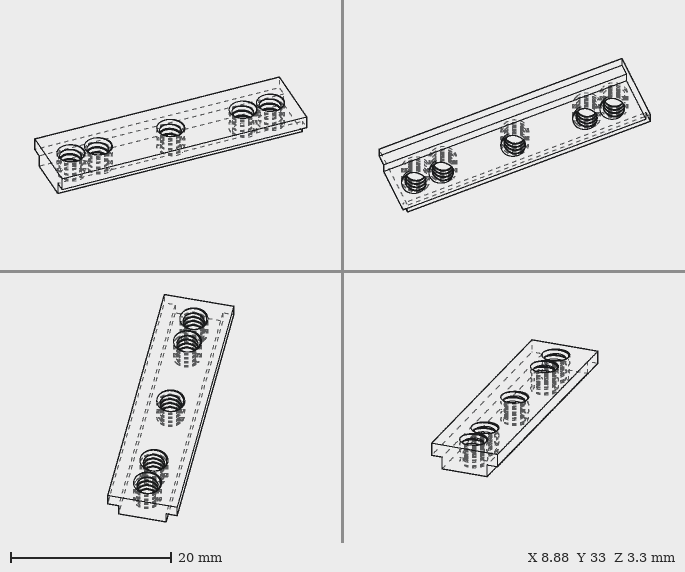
import cadquery as cq
import math

length = 33.02
width = 8.88
height = 3.3

tongue_width = 6.08
flange_thickness = 1.7

inner_hole_offset = 9.77
outer_hole_offset = 13.47
hole_positions = [-outer_hole_offset, -inner_hole_offset, 0, inner_hole_offset, outer_hole_offset]

major_radius = 1.75
thread_pitch = 0.8
flank_angle = math.radians(30)
root_flat = thread_pitch / 8
crest_flat = thread_pitch / 4
thread_depth = (thread_pitch - root_flat - crest_flat) / 2 / math.tan(flank_angle)
minor_radius = major_radius - thread_depth

groove_start_depth = 0.33

groove_overlap = 0.05

runout_turns = 1


def make_bar():
    """T-shaped bar with its underside at Z = 0."""
    flange = cq.Workplane("XY").box(width, length, flange_thickness, centered=(True, True, False))
    flange = flange.translate((0, 0, height - flange_thickness))
    tongue = cq.Workplane("XY").box(tongue_width, length, height, centered=(True, True, False))
    return flange.union(tongue)


def make_thread_groove():
    """Helical groove bounded by ruled faces, running out past both faces of the bar."""
    inner_radius = minor_radius - groove_overlap
    half_root = root_flat / 2
    half_mouth = half_root + (thread_depth + groove_overlap) * math.tan(flank_angle)
    turns = math.ceil(height / thread_pitch) + 2 * runout_turns
    start_height = height - groove_start_depth - (turns - runout_turns) * thread_pitch

    corners = [
        (inner_radius, -half_mouth),
        (major_radius, -half_root),
        (major_radius, half_root),
        (inner_radius, half_mouth),
    ]
    helices = [
        cq.Wire.makeHelix(thread_pitch, turns * thread_pitch, radius).translate(cq.Vector(0, 0, offset))
        for radius, offset in corners
    ]
    next_helices = helices[1:] + helices[:1]
    faces = [cq.Face.makeRuledSurface(a, b) for a, b in zip(helices, next_helices)]
    for end_points in ([h.startPoint() for h in helices], [h.endPoint() for h in helices]):
        faces.append(cq.Face.makeFromWires(cq.Wire.makePolygon(end_points, close=True)))
    groove = cq.Workplane(obj=cq.Solid.makeSolid(cq.Shell.makeShell(faces)))
    return groove.translate((0, 0, start_height))


def make_bore():
    """Bore at the minor diameter, running out past both faces of the bar."""
    bore_length = 3 * height
    return cq.Workplane("XY").workplane(offset=-height).circle(minor_radius).extrude(bore_length)


def make_lead_in():
    """45 degree countersink from the major diameter down to a point on the hole axis."""
    cone = cq.Solid.makeCone(0, major_radius, major_radius)
    return cq.Workplane(obj=cone).translate((0, 0, height - major_radius))


bore = make_bore()
lead_in = make_lead_in()
thread_groove = make_thread_groove().cut(bore)

result = make_bar()
for y in hole_positions:
    for cutter in (bore, lead_in, thread_groove):
        result = result.cut(cutter.translate((0, y, 0)))